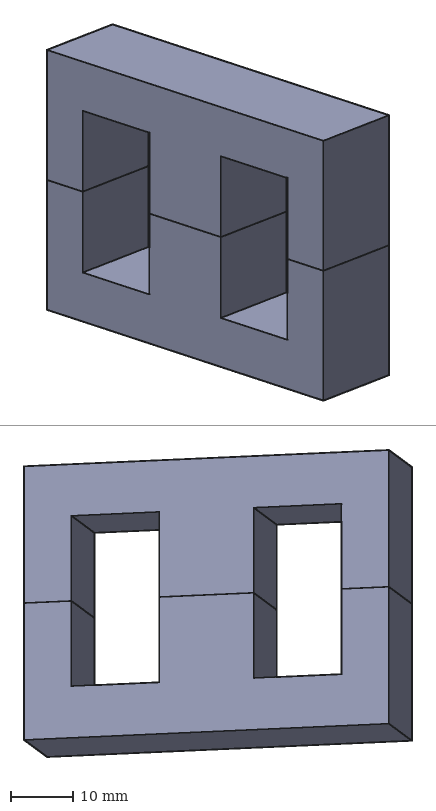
import cadquery as cq

width = 60.15
depth = 15.6
total_height = 44.6

center_leg_width = 15.6
outer_leg_width = 7.8
back_thickness = 8.4

air_gap = 0.01

core_height = (total_height - air_gap) / 2
leg_length = core_height - back_thickness
window_width = (width - center_leg_width) / 2 - outer_leg_width
window_offset = (center_leg_width + window_width) / 2


def lower_core():
    """E-shaped core with its legs pointing up to the air gap, which is centered on Z = 0."""
    core = cq.Workplane("XY").box(width, depth, core_height).translate((0, 0, -(air_gap + core_height) / 2))
    for side in (-1, 1):
        window = cq.Workplane("XY").box(window_width, depth, leg_length)
        core = core.cut(window.translate((side * window_offset, 0, -(air_gap + leg_length) / 2)))
    return core


core_turns = (0, 180)
cores = []
for turn in core_turns:
    core = lower_core().rotate((0, 0, 0), (1, 0, 0), turn)
    cores.append(core.val())

result = cq.Compound.makeCompound(cores)